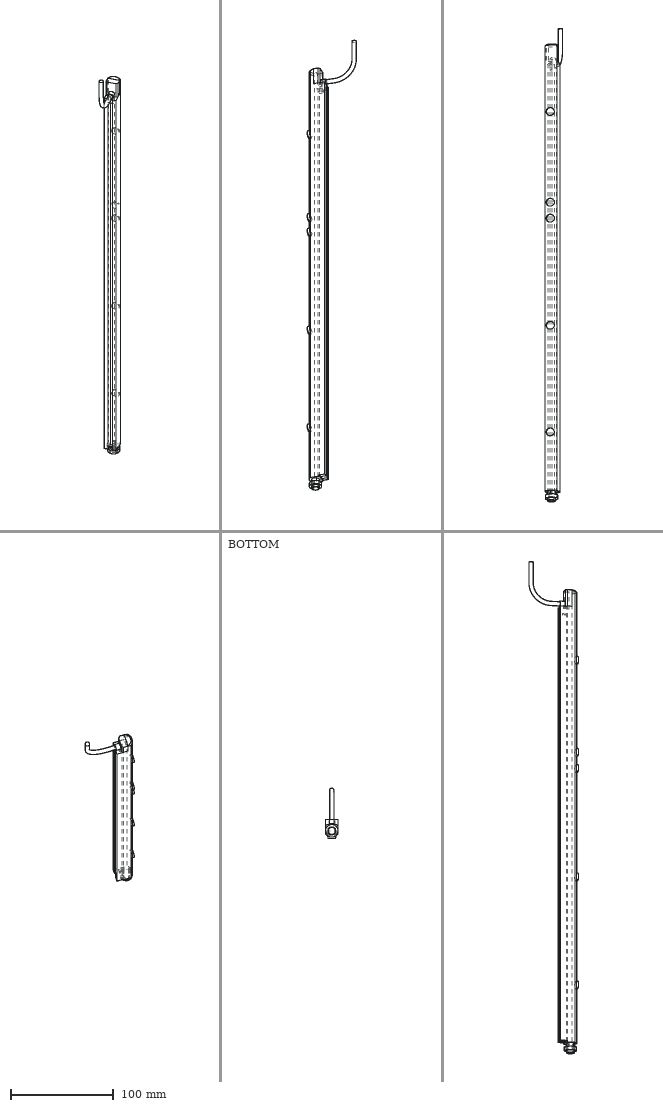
import cadquery as cq
import math

rail_width = 12.0
rail_bottom = 10.0
rail_top = 461.5
bow_start_y = 3.0
leg_y = -11.0
leg_bottom = 11.0
leg_top = 444.8
slot_width = 4.5
slot_floor_y = -3.5
half_width = rail_width / 2
back_y = half_width

block_y = -half_width
block_back_y = 0
block_corner = 1.5
top_chamfer = 1.5

neck_sides = 6
neck_across_corners = 9.0
flange_radius = half_width
flange_bottom = 2.5
flange_top = 6.0
tip_radius = 4.0
tip_chamfer = 0.5

pad_radius = 4.0
pad_rise = 1.5
pad_y = back_y + pad_rise
pad_edge_fillet = 1.0
pad_centers_z = [68.5, 176.0, 284.5, 300.5, 392.5]

tongue_bottom = 440.5
lip_bottom = 437.5
lip_y = -7.5

cable_radius = 2.2
cable_rise = 3.15
cable_z = leg_top + cable_rise
cable_end_y = -39.5
cable_top = 488
bend_radius = 20.0
collar_radius = 3.0
collar_end_y = -10.5


def box(width, y_front, y_back, z_bottom, z_top):
    """Block centred on X between the given Y and Z limits."""
    block = cq.Workplane("XY").box(width, y_back - y_front, z_top - z_bottom, centered=(True, False, False))
    return block.translate((0, y_front, z_bottom))


def disc(radius, z_bottom, z_top):
    """Cylinder on the Z axis."""
    return cq.Workplane("XY").workplane(offset=z_bottom).circle(radius).extrude(z_top - z_bottom)


def end_block(z_bottom, z_top):
    """Block in front of the rail's back half, with its two front corners cut off."""
    return box(rail_width, block_y, block_back_y, z_bottom, z_top).edges("|Z and <Y").chamfer(block_corner)


def make_rail_profile():
    """Full rail section, with the slot and with the legs shortened at both ends."""
    outline = (
        cq.Workplane("XY")
        .workplane(offset=rail_bottom)
        .moveTo(-half_width, leg_y)
        .lineTo(half_width, leg_y)
        .lineTo(half_width, bow_start_y)
        .threePointArc((0, back_y), (-half_width, bow_start_y))
        .close()
    )
    profile = outline.extrude(rail_top - rail_bottom)
    profile = profile.cut(box(rail_width, leg_y, block_back_y, leg_top, rail_top))
    profile = profile.cut(box(rail_width, leg_y, block_back_y, rail_bottom, leg_bottom))
    profile = profile.cut(box(slot_width, leg_y, slot_floor_y, leg_bottom, leg_top))
    return profile.faces(">Z").edges(">Y").chamfer(top_chamfer)


def make_foot():
    neck_height = rail_bottom - flange_top
    neck_base = cq.Workplane("XY").workplane(offset=flange_top)
    neck = neck_base.polygon(neck_sides, neck_across_corners).extrude(neck_height)
    neck = neck.rotate((0, 0, 0), (0, 0, 1), 90)
    flange = disc(flange_radius, flange_bottom, flange_top)
    tip = disc(tip_radius, 0, flange_bottom).faces("<Z").chamfer(tip_chamfer)
    return neck.union(flange).union(tip)


def make_pad(center_z):
    pad = cq.Workplane("XZ", origin=(0, 0, center_z)).circle(pad_radius).extrude(-pad_y)
    return pad.faces(">Y").edges().fillet(pad_edge_fillet)


def make_rail():
    body = make_rail_profile().union(end_block(rail_bottom, leg_bottom)).union(make_foot())
    for center_z in pad_centers_z:
        body = body.union(make_pad(center_z))
    return body


def make_cord():
    """Round cable swept from inside the plug along a straight, a quarter bend and a straight."""
    start_y = block_y / 2
    bend_y = cable_end_y + bend_radius
    bend_z = cable_z + bend_radius
    mid_offset = bend_radius * math.sqrt(0.5)
    path = (
        cq.Workplane("YZ")
        .moveTo(start_y, cable_z)
        .lineTo(bend_y, cable_z)
        .threePointArc((bend_y - mid_offset, bend_z - mid_offset), (cable_end_y, bend_z))
        .lineTo(cable_end_y, cable_top)
    )
    start = cq.Workplane("XZ", origin=(0, start_y, cable_z))
    cord = start.circle(cable_radius).sweep(path)
    collar = start.circle(collar_radius).extrude(start_y - collar_end_y)
    return cord.union(collar)


def make_cable():
    plug = end_block(leg_top, rail_top)
    tongue = box(slot_width, leg_y, slot_floor_y, tongue_bottom, leg_top)
    lip = box(slot_width, lip_y, slot_floor_y, lip_bottom, tongue_bottom)
    return plug.union(tongue).union(lip).union(make_cord())


rail = make_rail()
cable = make_cable()
result = cq.Compound.makeCompound([rail.val(), cable.val()])